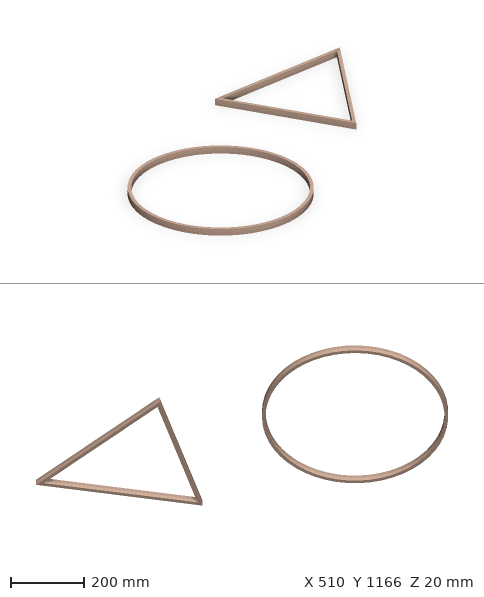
import cadquery as cq

overall_length = 1166.0
frame_height = 20.0
ring_outer_diameter = 510.0
ring_inner_diameter = 490.0
triangle_base = 414.0
triangle_depth = 414.0

wall = (ring_outer_diameter - ring_inner_diameter) / 2

apex_y = overall_length - ring_outer_diameter / 2
base_y = apex_y - triangle_depth


def make_ring():
    """Flat circular hoop."""
    return (
        cq.Workplane("XY")
        .circle(ring_outer_diameter / 2)
        .circle(ring_inner_diameter / 2)
        .extrude(frame_height)
    )


def triangle_outline():
    """Outer isosceles triangle of the frame, with its apex toward +Y."""
    return (
        cq.Workplane("XY")
        .moveTo(-triangle_base / 2, base_y)
        .lineTo(triangle_base / 2, base_y)
        .lineTo(0, apex_y)
        .close()
    )


def make_triangle_frame():
    """Triangular frame with a wall of constant width and sharp corners."""
    opening = triangle_outline().offset2D(-wall, "intersection").extrude(frame_height)
    return triangle_outline().extrude(frame_height).cut(opening)


ring = make_ring()
triangle_frame = make_triangle_frame()

result = cq.Compound.makeCompound([ring.val(), triangle_frame.val()])